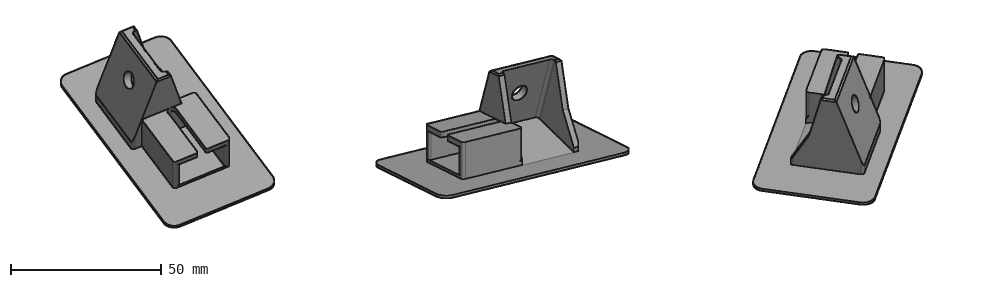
import cadquery as cq
import math

plate_length = 77.6
plate_width = 41.6
plate_thickness = 1.0
plate_corner_radius = 4.0

total_height = 30.35
half_length = 23.8
back_y = 10.8
side_wall = 2.3
outer_radius = 1.0
inner_radius = 1.2

wedge_width = 25.6
wedge_front_y = -14.4
wedge_front_height = 4.3
front_lean = 20
ridge_back_y = 0.2
shoulder_y = 4.35
wedge_back_height = 2.55
ridge_chamfer = 0.55

front_wall = 3.0
pocket_floor_slope = 16.5

hole_diameter = 6.0
hole_height = 20.25

block_top = 14.1
roof_thickness = 2.0
floor_height = 2.0
slot_width = 3.2
mouth_radius = 0.6

wedge_left_x = -half_length
wedge_right_x = wedge_left_x + wedge_width
wedge_center_x = wedge_left_x + wedge_width / 2
block_left_x = wedge_right_x - side_wall
cavity_half_width = back_y - side_wall
lean_angle = math.radians(front_lean)


def box_between(x_range, y_range, z_range):
    """Axis-aligned box spanning the given (low, high) ranges."""
    spans = [high - low for low, high in (x_range, y_range, z_range)]
    corner = (x_range[0], y_range[0], z_range[0])
    return cq.Workplane("XY").box(*spans, centered=False).translate(corner)


def extrude_along_x(outline, x_start, x_end):
    """Prism along X from a closed outline of (y, z) points."""
    profile = cq.Workplane("YZ", origin=(x_start, 0, 0)).polyline(outline).close()
    return profile.extrude(x_end - x_start)


def front_face_y(height):
    """Y of the leaning front face of the wedge at the given height."""
    return wedge_front_y + (height - wedge_front_height) * math.tan(lean_angle)


def pocket_wall_y(height):
    """Y of the back of the front wall, parallel to the leaning front face."""
    return front_face_y(height) + front_wall / math.cos(lean_angle)


def make_plate():
    plate = box_between(
        (-plate_length / 2, plate_length / 2),
        (-plate_width / 2, plate_width / 2),
        (0, plate_thickness),
    )
    return plate.edges("|Z").fillet(plate_corner_radius)


def make_wedge():
    outline = [
        (wedge_front_y, 0),
        (wedge_front_y, wedge_front_height),
        (front_face_y(total_height), total_height),
        (ridge_back_y, total_height),
        (shoulder_y, block_top),
        (back_y, wedge_back_height),
        (back_y, 0),
    ]
    wedge = extrude_along_x(outline, wedge_left_x, wedge_right_x)
    wedge = wedge.faces(">Z").chamfer(ridge_chamfer)
    footprint = box_between(
        (wedge_left_x, wedge_right_x), (wedge_front_y, back_y), (0, total_height)
    )
    rounded_footprint = footprint.edges("|Z").edges("<Y or <X").fillet(outer_radius)
    return wedge.intersect(rounded_footprint)


def make_pocket():
    floor_tangent = math.tan(math.radians(pocket_floor_slope))
    floor_length = back_y - pocket_wall_y(plate_thickness)
    floor_run = floor_length / (1 + floor_tangent * math.tan(lean_angle))
    outline = [
        (back_y, plate_thickness),
        (back_y - floor_run, plate_thickness + floor_run * floor_tangent),
        (pocket_wall_y(total_height), total_height),
        (back_y, total_height),
    ]
    pocket = extrude_along_x(outline, wedge_left_x + side_wall, wedge_right_x - side_wall)
    wall_ends = pocket.faces("<Y").edges("#X")
    return wall_ends.fillet(inner_radius)


def make_hole():
    axis = cq.Vector(0, math.cos(lean_angle), -math.sin(lean_angle))
    entry = cq.Vector(wedge_center_x, front_face_y(hole_height), hole_height)
    start = entry - axis * front_wall
    return cq.Workplane(cq.Solid.makeCylinder(hole_diameter / 2, 3 * front_wall, start, axis))


def make_block():
    block = box_between((block_left_x, half_length), (-back_y, back_y), (0, block_top))
    block = block.edges("|Z").edges(">X or >Y").fillet(outer_radius)
    cavity = box_between(
        (wedge_right_x, half_length),
        (-cavity_half_width, cavity_half_width),
        (floor_height, block_top - roof_thickness),
    )
    slot = box_between(
        (wedge_right_x, half_length), (-slot_width / 2, slot_width / 2), (floor_height, block_top)
    )
    slot = slot.edges("|Z and <X").fillet(inner_radius)
    block = block.cut(cavity).cut(slot)
    mouth = cq.selectors.BoxSelector(
        (half_length - mouth_radius, -cavity_half_width - mouth_radius, 0),
        (half_length + mouth_radius, cavity_half_width + mouth_radius, block_top),
    )
    return block.edges("|Z").edges(mouth).fillet(mouth_radius)


wedge = make_wedge().cut(make_pocket()).cut(make_hole())
result = make_plate().union(wedge).union(make_block())